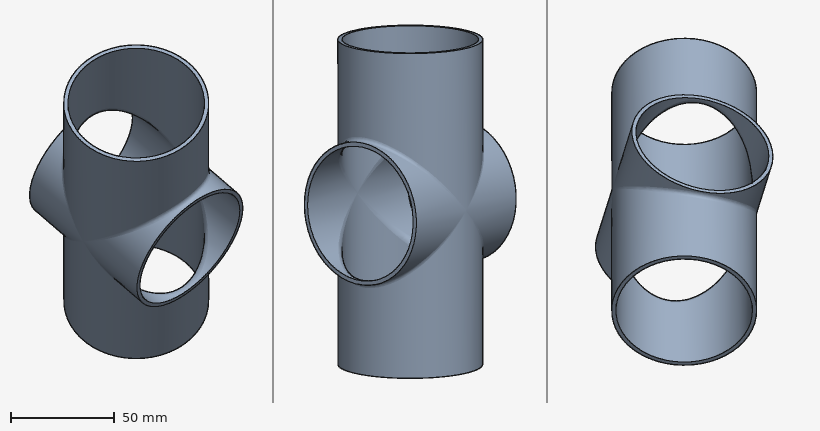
import cadquery as cq

run_length = 160.0
branch_length = 76.0
outer_diameter = 70.0
wall = 2.0
outer_blend_radius = 2.0

outer_radius = outer_diameter / 2
bore_radius = outer_radius - wall
bore_blend_radius = outer_blend_radius + wall


def quarter_cross(radius, blend_radius):
    """The +X, +Z quarter of two equal crossing cylinders, blended where they meet."""
    run = cq.Workplane("XY").circle(radius).extrude(run_length / 2)
    branch = cq.Workplane("YZ").circle(radius).extrude(branch_length / 2)
    quadrant = cq.Workplane("XY").box(run_length, run_length, run_length, centered=(False, True, False))
    quarter = run.union(branch).intersect(quadrant)
    return quarter.edges("%ELLIPSE").fillet(blend_radius)


quarter_fitting = quarter_cross(outer_radius, outer_blend_radius).cut(
    quarter_cross(bore_radius, bore_blend_radius)
)
upper_half = quarter_fitting.union(quarter_fitting.rotate((0, 0, 0), (0, 0, 1), 180))
result = upper_half.union(upper_half.rotate((0, 0, 0), (1, 0, 0), 180))